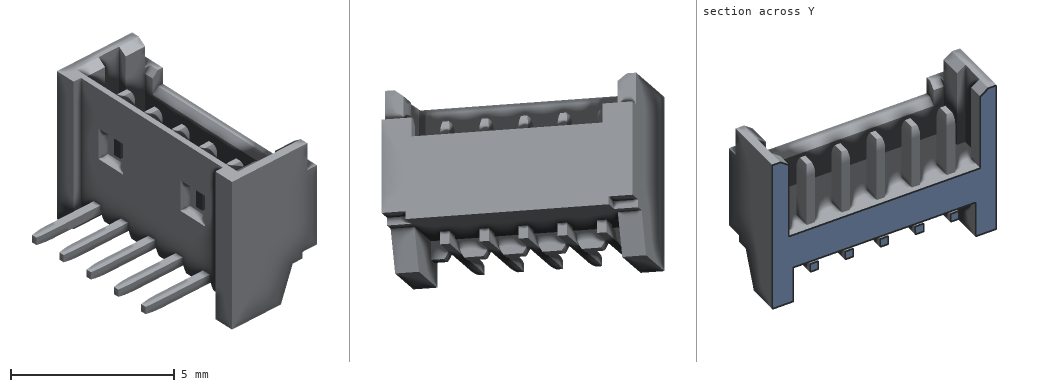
import cadquery as cq
import math


length = 8.0
depth = 3.5
height = 5.5

front_face_y = 0.3
front_inner_y = 0.7
end_wall = 0.3
floor_bottom_z = 1.3
floor_top_z = 2.56

foot_width = 0.76
foot_slope_bottom_y = 2.02
foot_slope_top_y = 2.5

rear_inner_y = 3.09
end_wall_back_y = 3.1
post_top_z = 4.5
post_width = 0.95
rear_wall_top_z = 3.9
rear_chamfer = 0.22
corner_notch_depth = 0.6
corner_notch_height = 0.25

rib_thickness = 0.3
slot_front_y = 1.45
slot_back_y = 2.3
lead_in_depth = 0.19
lead_in_height = 0.22

window_width = 1.13
window_offset = 1.87
window_bottom_z = 2.9
window_top_z = 4.03

pin_count = 5
pin_pitch = 1.25
pin_width = 0.3
pin_tip_width = 0.2
contact_tip_length = 0.38
tail_tip_length = 0.61
contact_front_y = 1.13
contact_thickness = 0.6
contact_tip_thickness = 0.39
contact_top_z = 4.8
tail_bottom_z = 0.9
tail_thickness = 0.32
tail_tip_thickness = 0.27
tail_projection = 2.3

skirt_bottom_z = 0.7
notch_top_z = 1.17
notch_middle_z = 0.93
notch_middle_half_width = 0.19
notch_bottom_half_width = 0.32

half_length = length / 2
cavity_half_length = half_length - end_wall
rib_half_length = cavity_half_length - rib_thickness
foot_inner_x = half_length - foot_width
pin_positions = [(i - (pin_count - 1) / 2) * pin_pitch for i in range(pin_count)]


def block(x_limits, y_limits, z_limits):
    """Box spanning the given (low, high) limits."""
    lows, highs = zip(x_limits, y_limits, z_limits)
    sizes = [high - low for low, high in zip(lows, highs)]
    return cq.Workplane("XY").box(*sizes, centered=False).translate(lows)


def centred_block(half_width, y_limits, z_limits):
    """Box symmetric about X = 0."""
    return block((-half_width, half_width), y_limits, z_limits)


def side_prism(outline, half_width):
    """Prism with a (Y, Z) outline, symmetric about X = 0."""
    return cq.Workplane("YZ").polyline(outline).close().extrude(half_width, both=True)


def make_blank():
    """Solid housing with feet, open underneath and recessed between the feet."""
    outline = [
        (0, 0),
        (foot_slope_bottom_y, 0),
        (foot_slope_top_y, floor_bottom_z),
        (depth, floor_bottom_z),
        (depth, post_top_z),
        (end_wall_back_y, post_top_z),
        (end_wall_back_y, height),
        (0, height),
    ]
    blank = side_prism(outline, half_length)
    blank = blank.cut(centred_block(foot_inner_x, (0, front_face_y), (0, height)))
    blank = blank.cut(centred_block(foot_inner_x, (0, front_inner_y), (0, skirt_bottom_z)))
    return blank.cut(centred_block(foot_inner_x, (front_inner_y, depth), (0, floor_bottom_z)))


def make_cavity():
    """Mating cavity with the two keying slots."""
    z_limits = (floor_top_z, height)
    cavity = centred_block(rib_half_length, (front_inner_y, depth), z_limits)
    cavity = cavity.cut(centred_block(rib_half_length, (rear_inner_y, depth), (floor_top_z, post_top_z)))
    return cavity.union(centred_block(cavity_half_length, (slot_front_y, slot_back_y), z_limits))


def make_lead_in():
    """Flared mouth of the cavity along the front wall and both end walls."""
    bottom_z = height - lead_in_height
    end_slopes = [
        (-rib_half_length, bottom_z),
        (rib_half_length, bottom_z),
        (cavity_half_length, height),
        (-cavity_half_length, height),
    ]
    front_slope = [
        (front_inner_y, bottom_z),
        (depth, bottom_z),
        (depth, height),
        (front_inner_y - lead_in_depth, height),
    ]
    flare = cq.Workplane("XZ").polyline(end_slopes).close().extrude(-depth)
    return flare.intersect(side_prism(front_slope, cavity_half_length))


def make_rear_chamfer(half_width, top_z):
    """Wedge that bevels the inner top edge of the rear wall."""
    outline = [
        (rear_inner_y, top_z - rear_chamfer),
        (rear_inner_y + rear_chamfer, top_z),
        (rear_inner_y, top_z),
    ]
    return side_prism(outline, half_width)


def make_corner_notch(side):
    """Notch under a rear corner; side is -1 for left and 1 for right."""
    x_limits = sorted((side * half_length, side * foot_inner_x))
    z_limits = (floor_bottom_z, floor_bottom_z + corner_notch_height)
    return block(x_limits, (depth - corner_notch_depth, depth), z_limits)


def make_window(centre_x):
    """Rectangular opening through the front wall."""
    x_limits = (centre_x - window_width / 2, centre_x + window_width / 2)
    return block(x_limits, (front_face_y, front_inner_y), (window_bottom_z, window_top_z))


def make_skirt_notch(x):
    """Flared notch in the front skirt around a pin."""
    half_top = pin_width / 2
    notch = (
        cq.Workplane("XZ")
        .moveTo(-half_top, notch_top_z)
        .lineTo(half_top, notch_top_z)
        .threePointArc((notch_middle_half_width, notch_middle_z), (notch_bottom_half_width, skirt_bottom_z))
        .lineTo(-notch_bottom_half_width, skirt_bottom_z)
        .threePointArc((-notch_middle_half_width, notch_middle_z), (-half_top, notch_top_z))
        .close()
        .extrude(-front_inner_y)
    )
    return notch.translate((x, 0, 0))


def make_tapered_profile(plane, width, tip_width, bar_length, tip_length, thickness):
    """Upright bar whose sides curve inward, tangent to the bar, over the tip length."""
    half, half_tip = width / 2, tip_width / 2
    shoulder = bar_length - tip_length
    inset = half - half_tip
    radius = (tip_length**2 + inset**2) / (2 * inset)
    rise = tip_length / 2
    mid_half = half - radius + math.sqrt(radius**2 - rise**2)
    outline = (
        cq.Workplane(plane)
        .moveTo(-half, 0)
        .lineTo(half, 0)
        .lineTo(half, shoulder)
        .threePointArc((mid_half, shoulder + rise), (half_tip, bar_length))
        .lineTo(-half_tip, bar_length)
        .threePointArc((-mid_half, shoulder + rise), (-half, shoulder))
        .close()
    )
    return outline.extrude(thickness / 2, both=True)


def make_pin_bar(thickness, tip_thickness, bar_length, tip_length):
    """Upright rectangular bar, tapered on all four sides at its upper end."""
    front = make_tapered_profile("XZ", pin_width, pin_tip_width, bar_length, tip_length, thickness)
    side = make_tapered_profile("YZ", thickness, tip_thickness, bar_length, tip_length, pin_width)
    return front.intersect(side)


def make_pin(x):
    """Right-angle pin: upright contact joined to a tail that runs toward -Y."""
    centre_y = contact_front_y + contact_thickness / 2
    contact_length = contact_top_z - tail_bottom_z
    contact = make_pin_bar(contact_thickness, contact_tip_thickness, contact_length, contact_tip_length)
    contact = contact.translate((x, centre_y, tail_bottom_z))
    tail_length = tail_projection + centre_y
    tail = make_pin_bar(tail_thickness, tail_tip_thickness, tail_length, tail_tip_length)
    tail = tail.rotate((0, 0, 0), (1, 0, 0), 90)
    return contact.union(tail.translate((x, centre_y, tail_bottom_z + tail_thickness / 2)))


housing = make_blank().cut(make_cavity()).cut(make_lead_in())

middle_half_length = half_length - post_width
housing = housing.cut(centred_block(middle_half_length, (rear_inner_y, depth), (rear_wall_top_z, height)))
housing = housing.cut(make_rear_chamfer(middle_half_length, rear_wall_top_z))
housing = housing.cut(make_rear_chamfer(rib_half_length, post_top_z))

for side in (-1, 1):
    housing = housing.cut(make_corner_notch(side)).cut(make_window(side * window_offset))

for x in pin_positions:
    housing = housing.cut(make_skirt_notch(x))

result = housing
for x in pin_positions:
    result = result.union(make_pin(x))